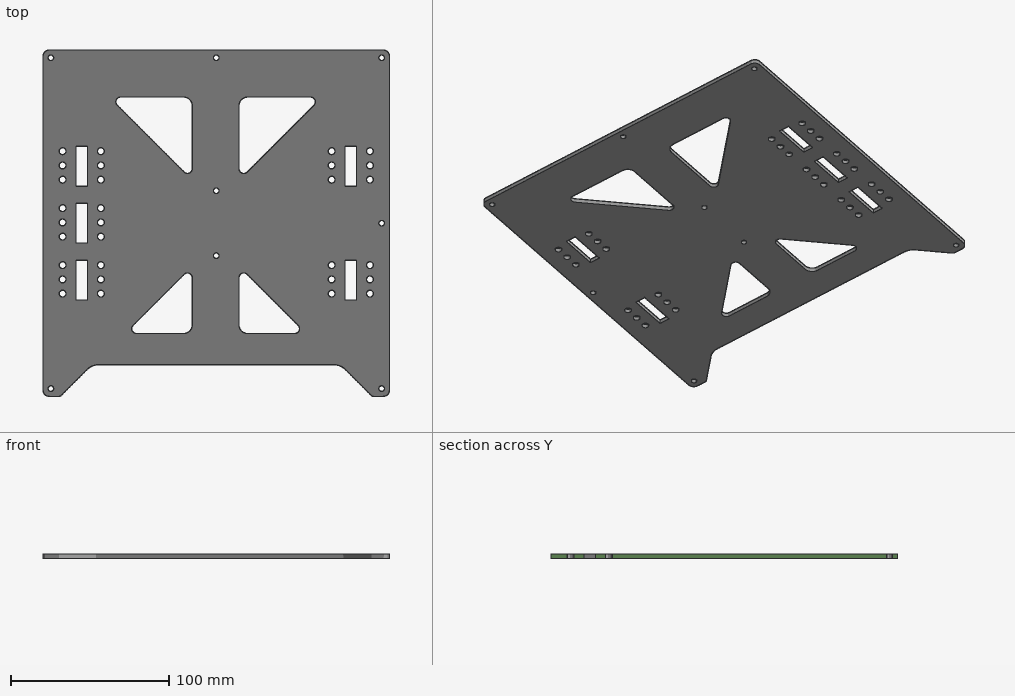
import cadquery as cq

PLATE_SIZE = 219.0
PLATE_THICKNESS = 3.0
PLATE_CORNER_RADIUS = 4.0
HALF = PLATE_SIZE / 2

RECESS_DEPTH = 20.0
FOOT_WIDTH = 10.9
RECESS_CORNER_RADIUS = 10.0
FOOT_CORNER_RADIUS = 2.0

MOUNT_DIAMETER = 3.4
MOUNT_EDGE_INSET = 5.0
MOUNT_OFFSET = HALF - MOUNT_EDGE_INSET
CENTRE_HOLE_SPACING = 41.0

BEARING_X = 85.0
BEARING_PITCH = 36.0
SLOT_WIDTH = 7.0
SLOT_LENGTH = 25.0
BEARING_HOLE_DIAMETER = 4.2
BEARING_HOLE_PITCH = 9.0
BEARING_COLUMN_SPACING = 24.2
BEARING_HOLE_Y_SHIFT = 0.5

WINDOW_CENTRE_X = -0.4
RIB_WIDTH = 29.6
WINDOW_INNER_Y = 27.25
UPPER_WINDOW_LEG = 52.4
LOWER_WINDOW_LEG = 42.4
WINDOW_SQUARE_RADIUS = 5.5
WINDOW_TIP_RADIUS = 3.0


def round_upright_edge(body, x, y, radius):
    """Round the vertical edge that stands at (x, y)."""
    edge_middle = (x, y, PLATE_THICKNESS / 2)
    return body.edges(cq.selectors.NearestToPointSelector(edge_middle)).fillet(radius)


def make_plate():
    """Square plate with a sloped recess in its -Y edge."""
    foot_x = HALF - FOOT_WIDTH
    recess_x = foot_x - RECESS_DEPTH
    recess_y = -HALF + RECESS_DEPTH
    plate = (
        cq.Workplane("XY")
        .polyline([
            (-HALF, HALF),
            (HALF, HALF),
            (HALF, -HALF),
            (foot_x, -HALF),
            (recess_x, recess_y),
            (-recess_x, recess_y),
            (-foot_x, -HALF),
            (-HALF, -HALF),
        ])
        .close()
        .extrude(PLATE_THICKNESS)
    )
    plate = plate.edges("|Z and (<X or >X)").fillet(PLATE_CORNER_RADIUS)
    for side in (-1, 1):
        plate = round_upright_edge(plate, side * recess_x, recess_y, RECESS_CORNER_RADIUS)
        plate = round_upright_edge(plate, side * foot_x, -HALF, FOOT_CORNER_RADIUS)
    return plate


def round_cutters(points, diameter):
    """Cylinders through the plate at the given points."""
    return cq.Workplane("XY").pushPoints(points).circle(diameter / 2).extrude(PLATE_THICKNESS)


def mounting_holes():
    """Holes in the corners, on two edge middles and near the plate centre."""
    points = [(x, y) for x in (-MOUNT_OFFSET, MOUNT_OFFSET) for y in (-MOUNT_OFFSET, MOUNT_OFFSET)]
    points += [(0, MOUNT_OFFSET), (MOUNT_OFFSET, 0)]
    points += [(0, CENTRE_HOLE_SPACING / 2), (0, -CENTRE_HOLE_SPACING / 2)]
    return round_cutters(points, MOUNT_DIAMETER)


def bearing_mount(x, y):
    """One strap slot with three holes on each side of it."""
    slot = cq.Workplane("XY").center(x, y).rect(SLOT_WIDTH, SLOT_LENGTH).extrude(PLATE_THICKNESS)
    points = [
        (x + side * BEARING_COLUMN_SPACING / 2, y + BEARING_HOLE_Y_SHIFT + row * BEARING_HOLE_PITCH)
        for side in (-1, 1)
        for row in (-1, 0, 1)
    ]
    return slot.add(round_cutters(points, BEARING_HOLE_DIAMETER)).combine()


def triangle_window(x_side, y_side, leg):
    """Right triangle with its square corner by the rib, away from the plate centre."""
    rib_x = WINDOW_CENTRE_X + x_side * RIB_WIDTH / 2
    tip_x = rib_x + x_side * leg
    inner_y = y_side * WINDOW_INNER_Y
    outer_y = inner_y + y_side * leg
    window = (
        cq.Workplane("XY")
        .polyline([(rib_x, inner_y), (rib_x, outer_y), (tip_x, outer_y)])
        .close()
        .extrude(PLATE_THICKNESS)
    )
    window = round_upright_edge(window, rib_x, outer_y, WINDOW_SQUARE_RADIUS)
    window = round_upright_edge(window, rib_x, inner_y, WINDOW_TIP_RADIUS)
    return round_upright_edge(window, tip_x, outer_y, WINDOW_TIP_RADIUS)


result = make_plate().cut(mounting_holes())

for row in (-1, 0, 1):
    result = result.cut(bearing_mount(-BEARING_X, row * BEARING_PITCH))
for row in (-1, 1):
    result = result.cut(bearing_mount(BEARING_X, row * BEARING_PITCH))

for x_side in (-1, 1):
    result = result.cut(triangle_window(x_side, 1, UPPER_WINDOW_LEG))
    result = result.cut(triangle_window(x_side, -1, LOWER_WINDOW_LEG))